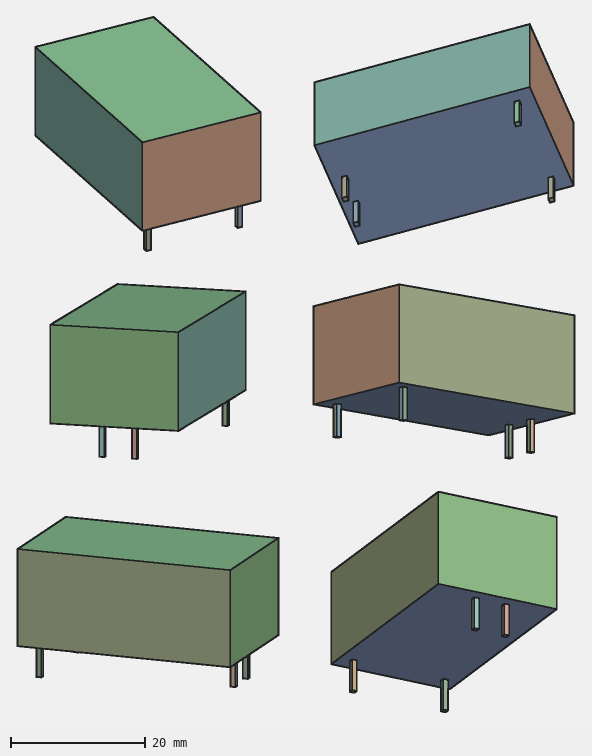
import cadquery as cq

housing_length = 34.0
housing_width = 20.0
housing_height = 15.0

pin_side = 0.8
pin_length = 5.0
first_row_inset = 2.3
pin_row_spacing = 29.0
inner_pin_spacing = 5.08
outer_pin_spacing = 15.4


def make_housing():
    return cq.Workplane("XY").box(
        housing_length, housing_width, housing_height, centered=(True, True, False)
    )


def make_pin(x, y):
    """Square pin whose top face touches the underside of the housing."""
    return cq.Workplane("XY").center(x, y).rect(pin_side, pin_side).extrude(-pin_length)


housing = make_housing()

first_row_x = -housing_length / 2 + first_row_inset
second_row_x = first_row_x + pin_row_spacing

pin_rows = [
    (first_row_x, inner_pin_spacing),
    (second_row_x, outer_pin_spacing),
]
pins = []
for row_x, spacing in pin_rows:
    for side in (-1, 1):
        pins.append(make_pin(row_x, side * spacing / 2))

result = cq.Compound.makeCompound([housing.val(), *[pin.val() for pin in pins]])